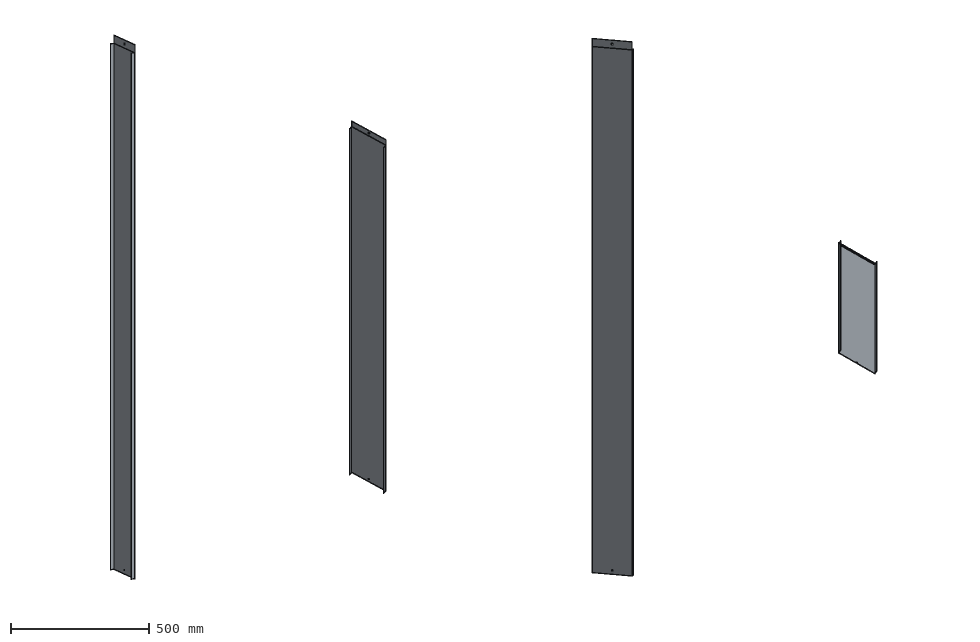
import cadquery as cq

length = 1999.0
width = 152.0
depth = 15.4

sheet = 1.0
tab_height = 30.0

hole_inset = 15.0
tab_hole_diameter = 7.0
foot_hole_diameter = 5.0

rear_y = depth / 2
front_y = -depth / 2
panel_rear_y = rear_y - sheet
panel_front_y = panel_rear_y - sheet
panel_height = length - tab_height
side_x = width / 2


def box_between(x_range, y_range, z_range):
    """Make an axis-aligned box from its limits along each axis."""
    sizes = [high - low for low, high in (x_range, y_range, z_range)]
    corner = (x_range[0], y_range[0], z_range[0])
    return cq.Workplane("XY").box(*sizes, centered=False).translate(corner)


def make_channel():
    """Flat panel with a forward flange along each long side."""
    z_range = (0, panel_height)
    web = box_between((-side_x, side_x), (panel_front_y, panel_rear_y), z_range)
    left_flange = box_between((-side_x, -side_x + sheet), (front_y, panel_rear_y), z_range)
    return web.union(left_flange).union(left_flange.mirror("YZ"))


def make_tab():
    """Set-back top strip, joined to the panel by a ledge one sheet thick."""
    ledge_bottom = panel_height - sheet
    x_range = (-side_x, side_x)
    strip = box_between(x_range, (panel_rear_y, rear_y), (ledge_bottom, length))
    ledge = box_between(x_range, (panel_front_y, rear_y), (ledge_bottom, panel_height))
    return strip.union(ledge)


def make_hole_cutter(diameter, center_z):
    """Cylinder along Y on the centre line, long enough to pass through the sheet."""
    circle = cq.Workplane("XZ").center(0, center_z).circle(diameter / 2)
    return circle.extrude(depth, both=True)


tab_hole = make_hole_cutter(tab_hole_diameter, length - hole_inset)
foot_hole = make_hole_cutter(foot_hole_diameter, hole_inset)
result = make_channel().union(make_tab()).cut(tab_hole).cut(foot_hole)